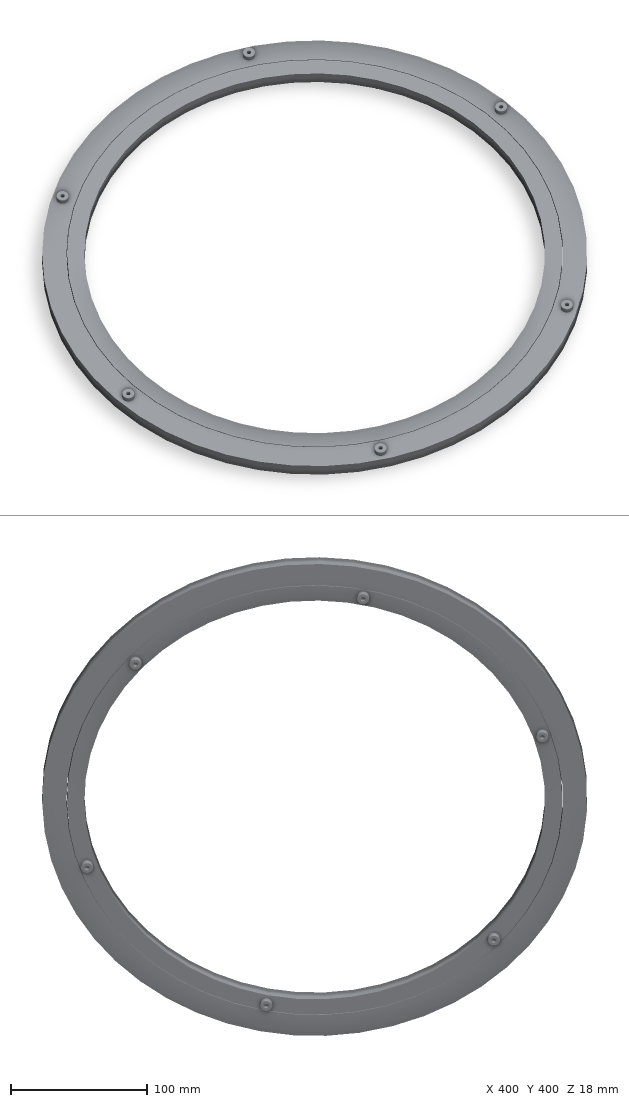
import cadquery as cq
import math

outer_diameter = 400.0
ring_height = 10.0

inner_ring_bore = 338.0
gap_middle_diameter = 364.0
gap_diameter_difference = 1.0
outer_ring_bore = gap_middle_diameter + gap_diameter_difference / 2
inner_ring_diameter = gap_middle_diameter - gap_diameter_difference / 2

boss_count = 6
boss_height = 4.0
boss_hole_diameter = 3.0
boss_diameter = 3 * boss_hole_diameter
boss_rim_diameter = 8.0
boss_edge_radius = (boss_diameter - boss_rim_diameter) / 2
boss_hole_depth = boss_height
drill_point_angle = 118
drill_point_depth = boss_hole_diameter / 2 / math.tan(math.radians(drill_point_angle / 2))

outer_boss_circle_radius = 192.0
outer_boss_first_angle = 90
inner_boss_circle_radius = 176.0
inner_boss_first_angle = 0


def flat_ring(outside_diameter, bore_diameter):
    """Plain ring of rectangular section, centred on Z = 0 with flat faces."""
    return (
        cq.Workplane("XY", origin=(0, 0, -ring_height / 2))
        .circle(outside_diameter / 2)
        .circle(bore_diameter / 2)
        .extrude(ring_height)
    )


def boss_body():
    """Cylinder standing on the top face of a ring, on the Z axis."""
    return cq.Workplane("XY", origin=(0, 0, ring_height / 2)).circle(boss_diameter / 2).extrude(boss_height)


def boss_hole():
    """Blind drilled hole with a conical point, going down from the free end of the boss."""
    radius = boss_hole_diameter / 2
    mouth = ring_height / 2 + boss_height
    shoulder = mouth - boss_hole_depth
    return (
        cq.Workplane("XZ")
        .polyline([(0, mouth), (radius, mouth), (radius, shoulder), (0, shoulder - drill_point_depth)])
        .close()
        .revolve(360, (0, 0, 0), (0, 1, 0))
    )


def add_bosses(ring, circle_radius, first_angle):
    """Put equally spaced drilled bosses on the top face of a ring and round their end edges."""
    for index in range(boss_count):
        angle = math.radians(first_angle + index * 360 / boss_count)
        position = (circle_radius * math.cos(angle), circle_radius * math.sin(angle), 0)
        ring = ring.union(boss_body().translate(position))
        ring = ring.cut(boss_hole().translate(position))
    return ring.faces(">Z").edges().fillet(boss_edge_radius)


def make_outer_ring():
    """Outer ring, with its bosses on the top face."""
    ring = flat_ring(outer_diameter, outer_ring_bore)
    return add_bosses(ring, outer_boss_circle_radius, outer_boss_first_angle)


def make_inner_ring():
    """Inner ring, turned over about the X axis so that its bosses hang from the bottom face."""
    ring = flat_ring(inner_ring_diameter, inner_ring_bore)
    ring = add_bosses(ring, inner_boss_circle_radius, inner_boss_first_angle)
    return ring.rotate((0, 0, 0), (1, 0, 0), 180)


outer_ring = make_outer_ring()
inner_ring = make_inner_ring()

result = cq.Compound.makeCompound([outer_ring.val(), inner_ring.val()])